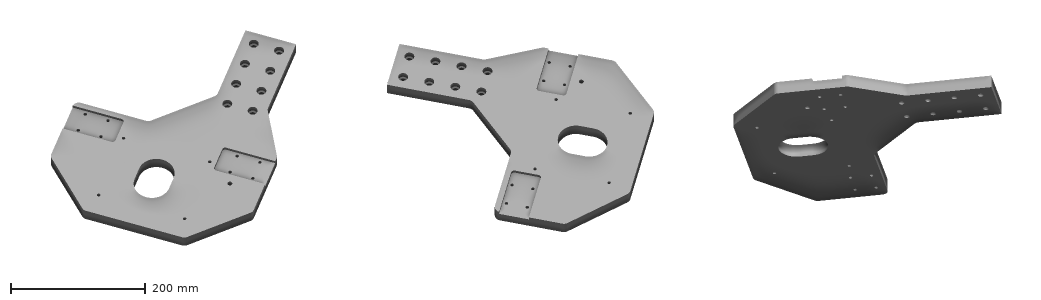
import cadquery as cq

length = 400.0
width = 320.0
thickness = 20.0

lower_chamfer = 80.0
shoulder_y = 190.0
corner_radius = 10.0
neck_width = 80.0
neck_flare = 80.0
neck_setback_difference = 154.0

neck_hole_rows = 4
neck_hole_pitch = 40.0
neck_hole_diameter = 8.5
counterbore_diameter = 15.0
counterbore_depth = 9.0

pocket_length = 82.0
pocket_width = 45.5
pocket_depth = 5.0
pocket_radius = 5.0
pocket_upper_margin = 9.0

pocket_hole_pitch_x = 36.0
pocket_hole_pitch_y = 32.0
pocket_hole_x = 120.0
pocket_hole_y = 159.0
small_hole_diameter = 5.0

slot_width = 54.5
slot_length = 75.0
slot_y = 91.0
body_hole_pitch_x = 136.0
body_hole_pitch_y = 113.5

side_hole_diameter = 7.0
side_hole_x = 110.0
side_hole_y = 119.0

half_width = width / 2
neck_x = neck_setback_difference / 2
neck_left = neck_x - neck_width / 2
neck_right = neck_x + neck_width / 2
neck_base_y = shoulder_y + neck_flare
neck_hole_y = length - neck_hole_pitch * neck_hole_rows / 2
pocket_y = shoulder_y - pocket_upper_margin - pocket_width / 2


def plate():
    """Flat body with a neck; every corner but the two at the neck's end is rounded."""
    outline = [
        (-half_width + lower_chamfer, 0),
        (half_width - lower_chamfer, 0),
        (half_width, lower_chamfer),
        (half_width, shoulder_y),
        (neck_right, neck_base_y),
        (neck_right, length),
        (neck_left, length),
        (neck_left, neck_base_y),
        (neck_left - neck_flare, shoulder_y),
        (-half_width, shoulder_y),
        (-half_width, lower_chamfer),
    ]
    body = cq.Workplane("XY").polyline(outline).close().extrude(thickness)
    return body.edges("|Z and (not >Y)").fillet(corner_radius)


def side_pocket(side):
    """Shallow pocket cutter whose outer half lies beyond the plate edge."""
    return (
        cq.Workplane("XY", origin=(side * half_width, pocket_y, thickness - pocket_depth))
        .rect(2 * pocket_length, pocket_width)
        .extrude(pocket_depth)
        .edges("|Z")
        .fillet(pocket_radius)
    )


def top_plane(x, y):
    """Workplane on the top face level, centred at (x, y)."""
    return cq.Workplane("XY", origin=(x, y, thickness))


def hole_grid(x, y, pitch_x, pitch_y, diameter, depth=thickness, rows=2):
    """Cutter for two columns of round holes, sunk from the top face level."""
    return (
        top_plane(x, y)
        .rarray(pitch_x, pitch_y, 2, rows)
        .circle(diameter / 2)
        .extrude(-depth)
    )


result = plate()

for side in (-1, 1):
    result = result.cut(side_pocket(side))
    result = result.cut(hole_grid(
        side * pocket_hole_x, pocket_hole_y, pocket_hole_pitch_x, pocket_hole_pitch_y, small_hole_diameter
    ))

for diameter, depth in ((neck_hole_diameter, thickness), (counterbore_diameter, counterbore_depth)):
    result = result.cut(hole_grid(
        neck_x, neck_hole_y, neck_hole_pitch, neck_hole_pitch, diameter, depth, neck_hole_rows
    ))

result = result.cut(top_plane(0, slot_y).slot2D(slot_length, slot_width, 90).extrude(-thickness))
result = result.cut(hole_grid(0, slot_y, body_hole_pitch_x, body_hole_pitch_y, small_hole_diameter))
result = result.cut(top_plane(side_hole_x, side_hole_y).circle(side_hole_diameter / 2).extrude(-thickness))